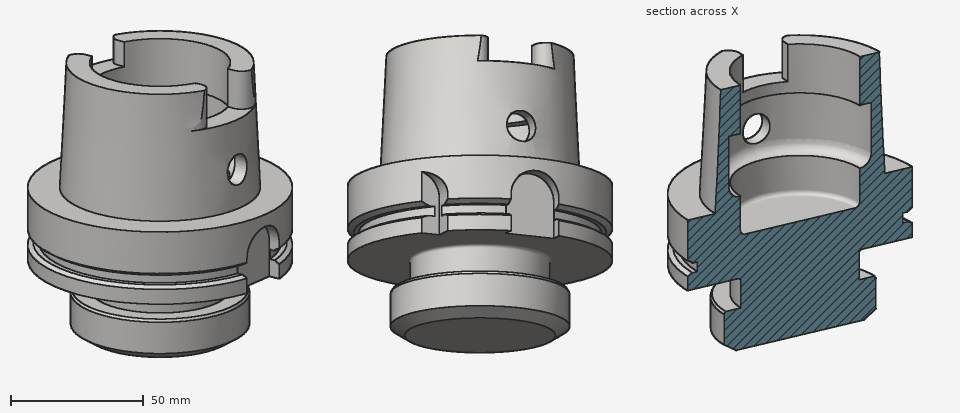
import cadquery as cq
import math

total_height = 107.9
flange_top = 57.9
flange_bottom = 29.0
head_top = 17.0

head_radius = 67.7 / 2
head_bottom_chamfer_width = 5.4
head_bottom_chamfer_height = 3.5
head_top_chamfer_width = 0.6
head_top_chamfer_height = 1.1
neck_radius = 52.8 / 2
neck_fillet = 1.2

flange_radius = 99.9 / 2
groove_radius = 45.7
groove_bottom = 36.0
groove_top = 39.8
lower_bevel_width = 2.0
lower_bevel_height = 1.1
upper_bevel_width = 2.4
upper_bevel_height = 1.5

shank_base_radius = 37.9
shank_tip_radius = 35.4

bore_radius = 53.1 / 2
bore_depth = 20.0
undercut_radius = 63.1 / 2
undercut_floor = 62.5
undercut_fillet = 4.9
recess_radius = 52.8 / 2
recess_floor = 46.7
recess_fillet = 1.8

cross_hole_diameter = 12.0
cross_hole_height = 73.2

slot_width = 20.0
left_slot_depth = 9.9
right_slot_depth = 15.2
lug_corner_radius = 4.9
lug_half_length = 32.3

keyway_top = 53.1
keyway_floor = 44.2
notch_floor = 31.3
notch_side = 31.5

clearance = 21.6


def make_body():
    """Solid of revolution for the head, neck, flange and shank."""
    shoulder = neck_radius + neck_fillet
    fillet_start = flange_bottom - neck_fillet
    arc_inset = neck_fillet * (1 - math.sqrt(0.5))
    profile = (
        cq.Workplane("XZ")
        .moveTo(0, 0)
        .lineTo(head_radius - head_bottom_chamfer_width, 0)
        .lineTo(head_radius, head_bottom_chamfer_height)
        .lineTo(head_radius, head_top - head_top_chamfer_height)
        .lineTo(head_radius - head_top_chamfer_width, head_top)
        .lineTo(neck_radius, head_top)
        .lineTo(neck_radius, fillet_start)
        .threePointArc((neck_radius + arc_inset, flange_bottom - arc_inset), (shoulder, flange_bottom))
        .lineTo(flange_radius, flange_bottom)
        .lineTo(flange_radius, groove_bottom - lower_bevel_height)
        .lineTo(flange_radius - lower_bevel_width, groove_bottom)
        .lineTo(groove_radius, groove_bottom)
        .lineTo(groove_radius, groove_top)
        .lineTo(flange_radius - upper_bevel_width, groove_top)
        .lineTo(flange_radius, groove_top + upper_bevel_height)
        .lineTo(flange_radius, flange_top)
        .lineTo(shank_base_radius, flange_top)
        .lineTo(shank_tip_radius, total_height)
        .lineTo(0, total_height)
        .close()
    )
    return profile.revolve(360, (0, 0, 0), (0, 1, 0))


def make_round_pocket(radius, floor, top, floor_fillet=0):
    """Cylinder to remove, from floor to top, with an optional rounded floor corner."""
    pocket = cq.Workplane("XY", origin=(0, 0, floor)).circle(radius).extrude(top - floor)
    if floor_fillet:
        pocket = pocket.faces("<Z").edges().fillet(floor_fillet)
    return pocket


def make_cavity():
    """Clamping cavity opening at the shank tip."""
    step_height = total_height - bore_depth
    mouth = make_round_pocket(bore_radius, step_height, total_height)
    undercut = make_round_pocket(undercut_radius, undercut_floor, step_height, undercut_fillet)
    recess = make_round_pocket(recess_radius, recess_floor, undercut_floor, recess_fillet)
    return mouth.union(undercut).union(recess)


def make_drive_slot(depth):
    """Slot on the +X side of the shank tip, with rounded lug corners that run off tangentially."""
    half_width = slot_width / 2
    center_x = lug_half_length - lug_corner_radius
    center_y = half_width + lug_corner_radius
    outward = math.atan2(center_y, center_x)
    middle = (outward - math.pi / 2) / 2

    def corner_point(angle):
        return (
            center_x + lug_corner_radius * math.cos(angle),
            center_y + lug_corner_radius * math.sin(angle),
        )

    def mirrored(point):
        return (point[0], -point[1])

    arc_middle = corner_point(middle)
    arc_end = corner_point(outward)
    tangent_end = (
        arc_end[0] - clearance * math.sin(outward),
        arc_end[1] + clearance * math.cos(outward),
    )
    outer_point = (
        tangent_end[0] + clearance * math.cos(outward),
        tangent_end[1] + clearance * math.sin(outward),
    )
    return (
        cq.Workplane("XY", origin=(0, 0, total_height - depth))
        .moveTo(0, -half_width)
        .lineTo(center_x, -half_width)
        .threePointArc(mirrored(arc_middle), mirrored(arc_end))
        .lineTo(*mirrored(tangent_end))
        .lineTo(*mirrored(outer_point))
        .lineTo(*outer_point)
        .lineTo(*tangent_end)
        .lineTo(*arc_end)
        .threePointArc(arc_middle, (center_x, half_width))
        .lineTo(0, half_width)
        .close()
        .extrude(depth)
    )


def make_keyway(floor, center_y):
    """Round-topped keyway on the +X side, open at the flange underside."""
    half_width = slot_width / 2
    arc_center = keyway_top - half_width
    return (
        cq.Workplane("YZ", origin=(floor, 0, 0))
        .moveTo(center_y - half_width, flange_bottom)
        .lineTo(center_y - half_width, arc_center)
        .threePointArc((center_y, keyway_top), (center_y + half_width, arc_center))
        .lineTo(center_y + half_width, flange_bottom)
        .close()
        .extrude(flange_radius + clearance - floor)
    )


def on_left(shape):
    """Mirror a +X side feature onto the -X side."""
    return shape.mirror("YZ")


cross_hole = (
    cq.Workplane("YZ", origin=(0, 0, cross_hole_height))
    .circle(cross_hole_diameter / 2)
    .extrude(flange_radius, both=True)
)
notch_center = notch_side + slot_width / 2

result = (
    make_body()
    .cut(make_cavity())
    .cut(cross_hole)
    .cut(on_left(make_drive_slot(left_slot_depth)))
    .cut(make_drive_slot(right_slot_depth))
    .cut(on_left(make_keyway(keyway_floor, 0)))
    .cut(make_keyway(keyway_floor, 0))
    .cut(on_left(make_keyway(notch_floor, notch_center)))
)